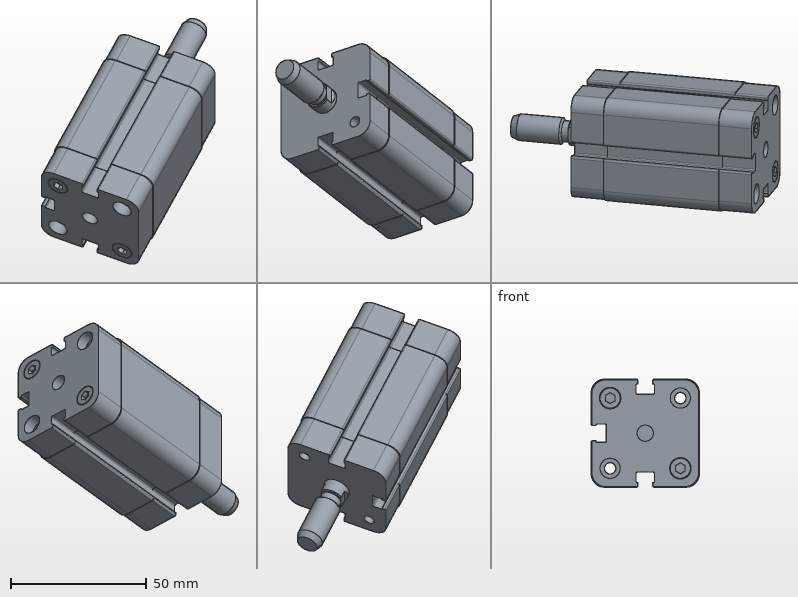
import cadquery as cq


tube_width = 40.1
cap_inset = 0.3
cap_width = tube_width - 2 * cap_inset
corner_radius = 5.0
cap_length = 12.6
body_length = 69.5

slot_mouth = 5.5
slot_inner = 6.7
cap_slot_floor = 14.5
tube_slot_floor = 14.4
slot_lip = 18.2
mouth_radius = 0.6
slot_corner_radius = 0.4

bolt_offset = 13.0
mounting_hole = 4.2
mounting_counterbore = 7.5
recess_depth = 4.7
screw_recess = 8.0
screw_head = 7.5
socket_flats = 3.5
socket_depth = 2.0
port_diameter = 6.0
port_depth = 7.8

overall_length = 97.0
rod_diameter = 10.0
neck_diameter = 8.0
tip_chamfer_length = 2.6
thread_start = 78.2
thread_runout = 0.7
collar_end = 74.9
collar_chamfer = 0.4
flats_width = 8.0
flats_start = 71.6


def along_y(start):
    """Sketch plane facing +Y at the given station; local x is X, local y is -Z."""
    return cq.Workplane("XZ", origin=(0, start, 0)).transformed(rotate=(180, 0, 0))


def profile_block(width, start, length):
    """Square bar with rounded long edges."""
    return along_y(start).rect(width, width).extrude(length).edges("|Y").fillet(corner_radius)


def slot_cutter(width, slot_floor, start, length):
    """T-slot open towards +Z with rounded mouth and corners, for a bar of the given width."""
    face = width / 2
    mouth = slot_mouth / 2
    shoulder = face - mouth_radius
    flare = mouth + mouth_radius
    bulge = mouth_radius * (1 - 0.5 ** 0.5)
    opening = (
        cq.Workplane("XZ", origin=(0, start, 0))
        .moveTo(-mouth, slot_floor)
        .lineTo(mouth, slot_floor)
        .lineTo(mouth, shoulder)
        .threePointArc((mouth + bulge, face - bulge), (flare, face))
        .lineTo(-flare, face)
        .threePointArc((-mouth - bulge, face - bulge), (-mouth, shoulder))
        .close()
        .extrude(-length)
    )
    channel_height = slot_lip - slot_floor
    channel = (
        cq.Workplane("XZ", origin=(0, start, slot_floor + channel_height / 2))
        .rect(slot_inner, channel_height)
        .extrude(-length)
        .edges("|Y")
        .fillet(slot_corner_radius)
    )
    return channel.union(opening)


def body_section(width, slot_floor, start, length):
    """Length of bar with sensor slots on the top, bottom and -X sides."""
    section = profile_block(width, start, length)
    cutter = slot_cutter(width, slot_floor, start, length)
    for angle in (0, 180, -90):
        section = section.cut(cutter.rotate((0, 0, 0), (0, 1, 0), angle))
    return section


def mounting_holes():
    """Through holes on one diagonal, counterbored from the rear face."""
    centres = [(bolt_offset, -bolt_offset), (-bolt_offset, bolt_offset)]
    holes = along_y(0).pushPoints(centres).circle(mounting_hole / 2).extrude(body_length)
    counterbores = along_y(0).pushPoints(centres).circle(mounting_counterbore / 2).extrude(recess_depth)
    return holes.union(counterbores)


def screw_recesses():
    """Ring gaps around the flush screw heads and their hexagon sockets, on the other diagonal."""
    centres = [(-bolt_offset, -bolt_offset), (bolt_offset, bolt_offset)]
    socket_corners = socket_flats / 0.75 ** 0.5
    rings = (
        along_y(0)
        .pushPoints(centres)
        .circle(screw_recess / 2)
        .circle(screw_head / 2)
        .extrude(recess_depth)
    )
    socket = along_y(0).polygon(6, socket_corners).extrude(socket_depth)
    socket = socket.rotate((0, 0, 0), (0, 1, 0), 90)
    recesses = rings
    for x, y in centres:
        recesses = recesses.union(socket.translate((x, 0, -y)))
    return recesses


def piston_rod():
    """Turned rod with collar, neck and threaded end, and two wrench flats facing +X and -X."""
    rod_radius = rod_diameter / 2
    neck_radius = neck_diameter / 2
    root = body_length - cap_length
    rod = (
        cq.Workplane("XY")
        .moveTo(0, root)
        .lineTo(rod_radius, root)
        .lineTo(rod_radius, collar_end - collar_chamfer)
        .lineTo(rod_radius - collar_chamfer, collar_end)
        .lineTo(neck_radius, collar_end)
        .lineTo(neck_radius, thread_start - thread_runout)
        .lineTo(rod_radius, thread_start)
        .lineTo(rod_radius, overall_length - tip_chamfer_length)
        .lineTo(neck_radius, overall_length)
        .lineTo(0, overall_length)
        .close()
        .revolve(360, (0, 0, 0), (0, 1, 0))
    )
    flat = flats_width / 2
    flat_cutter = (
        cq.Workplane("XY")
        .moveTo(flat, flats_start)
        .lineTo(flat, collar_end)
        .lineTo(rod_diameter, collar_end)
        .lineTo(rod_diameter, flats_start - (rod_diameter - flat))
        .close()
        .extrude(rod_radius, both=True)
    )
    return rod.cut(flat_cutter).cut(flat_cutter.mirror("YZ"))


tube = body_section(tube_width, tube_slot_floor, cap_length, body_length - 2 * cap_length)
rear_cap = body_section(cap_width, cap_slot_floor, 0, cap_length)
front_cap = body_section(cap_width, cap_slot_floor, body_length - cap_length, cap_length)
port = along_y(0).circle(port_diameter / 2).extrude(port_depth)

body = tube.union(rear_cap).union(front_cap)
body = body.cut(mounting_holes()).cut(screw_recesses()).cut(port)
result = body.union(piston_rod())